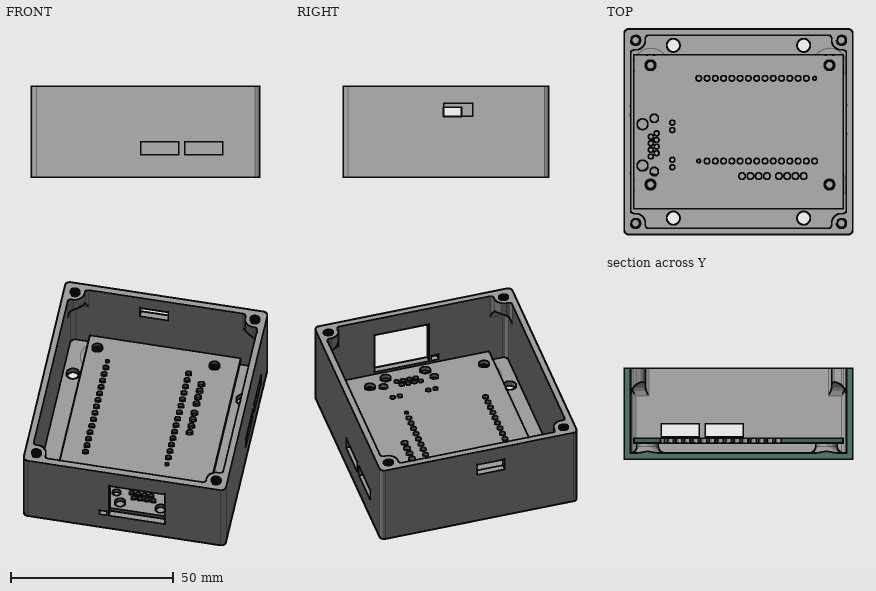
import cadquery as cq
import math

BOARD_X = 64.19
BOARD_Y = 47.19
BOARD_THICKNESS = 1.5
BOARD_GAP_X = 1.0
BOARD_GAP_Y = 6.0

WALL = 2.0
FLOOR = 2.0
HEIGHT = 28.0
CAVITY_X = BOARD_X + 2 * BOARD_GAP_X
CAVITY_Y = BOARD_Y + 2 * BOARD_GAP_Y
OUTER_X = CAVITY_X + 2 * WALL
OUTER_Y = CAVITY_Y + 2 * WALL
OUTER_CORNER_RADIUS = 1.5
CAVITY_CORNER_RADIUS = 1.5

LID_SCREW_INSET = 3.5
BOSS_RADIUS = 3.0
BOSS_WIDTH = LID_SCREW_INSET - WALL + BOSS_RADIUS
BOSS_DEPTH = 4.2
BOSS_UNDERSIDE_RADIUS = 4.3
LID_HOLE_DEPTH = 4.0
BOSS_BLEND_RADIUS = 1.0

THREAD_MINOR_DIAMETER = 2.53
THREAD_MAJOR_DIAMETER = 3.09
THREAD_PITCH = 0.5
THREAD_GROOVE_WIDTH = 0.4
THREAD_EXIT_ANGLE = 45
THREAD_ROOT_OVERLAP = 0.05

STANDOFF_XS = (-27.0, 27.9)
STANDOFF_YS = (-16.2, 20.4)
STANDOFF_POINTS = [(x, y) for x in STANDOFF_XS for y in STANDOFF_YS]
STANDOFF_HEIGHT = 3.0
STANDOFF_RADIUS = 3.3
STANDOFF_FILLET = 2.0
BOARD_BOTTOM = FLOOR + STANDOFF_HEIGHT
BOARD_TOP = BOARD_BOTTOM + BOARD_THICKNESS

MOUNT_SPACING_X = 40.0
MOUNT_SPACING_Y = 53.0
MOUNT_DIAMETER = 4.0

JACK_Y = -4.05
JACK_OPENING_WIDTH = 17.5
JACK_OPENING_HEIGHT = 15.0
LED_Y = 6.6
LED_WIDTH = 2.35
LED_HEIGHT = 1.95
USB_Y = 3.73
USB_WIDTH = 8.87
USB_BOTTOM = 18.7
USB_HEIGHT = 4.1
SLOT_XS = (4.35, 17.9)
SLOT_WIDTH = 11.6
SLOT_BOTTOM = 7.0
SLOT_HEIGHT = 3.9

BOARD_SCREW_DIAMETER = 3.2
HEADER_PITCH = 2.54
HEADER_PINS = 15
HEADER_START_X = -12.2
HEADER_YS = (-9.0, 16.4)
HEADER_DIAMETER = 1.7
HEADER_END_DIAMETER = 1.1
TERMINAL_PINS = 4
TERMINAL_START_XS = (1.1, 12.4)
TERMINAL_Y = -13.6
TERMINAL_DIAMETER = 2.0
JACK_PEG_X = -29.45
JACK_PEG_OFFSET = 6.35
JACK_PEG_DIAMETER = 3.3
JACK_SHIELD_X = -25.85
JACK_SHIELD_OFFSET = 8.15
JACK_SHIELD_DIAMETER = 2.53
JACK_PINS = 8
JACK_PIN_PITCH = 1.016
JACK_PIN_XS = (-26.9, -25.15)
JACK_PIN_DIAMETER = 1.52
JACK_LED_X = -20.3
JACK_LED_OFFSETS = (4.57, 6.86)
VIA_X = -26.45
VIA_Y = -2.55
VIA_DIAMETER = 0.6


def box_between(x, y, z):
    """Box spanning the given (low, high) pair on each axis."""
    size = [high - low for low, high in (x, y, z)]
    return cq.Workplane("XY").box(*size, centered=False).translate((x[0], y[0], z[0]))


def span(centre, width):
    """Low and high ends of a centred range."""
    return (centre - width / 2, centre + width / 2)


def drill(points, diameter, bottom, top):
    """Vertical cylinders used to cut round holes."""
    plane = cq.Workplane("XY", origin=(0, 0, bottom))
    return plane.pushPoints(points).circle(diameter / 2).extrude(top - bottom)


def corners(spacing_x, spacing_y):
    """Four points at the corners of a centred rectangle."""
    return [(x * spacing_x / 2, y * spacing_y / 2) for x in (-1, 1) for y in (-1, 1)]


def space_between_bosses():
    """Full-height interior with each corner left filled by a boss."""
    depth = HEIGHT - FLOOR
    boss_blocks = (
        cq.Workplane("XY", origin=(0, 0, FLOOR))
        .pushPoints(corners(CAVITY_X, CAVITY_Y))
        .rect(2 * BOSS_WIDTH, 2 * BOSS_WIDTH)
        .extrude(depth)
    )
    space = cq.Workplane("XY", origin=(0, 0, FLOOR)).rect(CAVITY_X, CAVITY_Y).extrude(depth).cut(boss_blocks)
    space = space.edges("|Z").edges("not(<X or >X or <Y or >Y)").fillet(BOSS_RADIUS)
    return space.edges("|Z").edges("<X or >X or <Y or >Y").fillet(BOSS_BLEND_RADIUS)


def space_below_bosses():
    """Rounded interior under the bosses; its rounded-over top edges form their concave undersides."""
    top = HEIGHT - BOSS_DEPTH
    swept = (
        cq.Workplane("XY", origin=(0, 0, FLOOR))
        .rect(CAVITY_X, CAVITY_Y)
        .extrude(top - FLOOR)
        .faces(">Z")
        .edges()
        .fillet(BOSS_UNDERSIDE_RADIUS)
    )
    rounded = (
        cq.Workplane("XY")
        .rect(CAVITY_X, CAVITY_Y)
        .extrude(HEIGHT)
        .edges("|Z")
        .fillet(CAVITY_CORNER_RADIUS)
    )
    return swept.intersect(rounded)


def threaded_hole(depth):
    """Cutter for a threaded hole reaching down from the origin: a core with a helical V ridge around it."""
    core_radius = THREAD_MINOR_DIAMETER / 2
    root = core_radius - THREAD_ROOT_OVERLAP
    helix_bottom = THREAD_PITCH - depth
    helix = cq.Wire.makeHelix(THREAD_PITCH, depth, core_radius)
    ridge = (
        cq.Workplane("XZ")
        .moveTo(root, -THREAD_GROOVE_WIDTH / 2)
        .lineTo(THREAD_MAJOR_DIAMETER / 2, 0)
        .lineTo(root, THREAD_GROOVE_WIDTH / 2)
        .close()
        .sweep(cq.Workplane(helix), isFrenet=True)
        .rotate((0, 0, 0), (0, 0, 1), THREAD_EXIT_ANGLE)
        .translate((0, 0, helix_bottom))
    )
    core = cq.Workplane("XY", origin=(0, 0, -depth)).circle(core_radius).extrude(depth + THREAD_PITCH)
    return core.union(ridge)


def standoff():
    """Round post with a concave fillet spreading onto the floor, standing at the origin."""
    foot = STANDOFF_RADIUS + STANDOFF_FILLET
    blend_middle = STANDOFF_FILLET * (1 - math.sqrt(0.5))
    return (
        cq.Workplane("XZ")
        .lineTo(foot, 0)
        .threePointArc(
            (STANDOFF_RADIUS + blend_middle, blend_middle),
            (STANDOFF_RADIUS, STANDOFF_FILLET),
        )
        .lineTo(STANDOFF_RADIUS, STANDOFF_HEIGHT)
        .lineTo(0, STANDOFF_HEIGHT)
        .close()
        .revolve(360, (0, 0, 0), (0, 1, 0))
        .translate((0, 0, FLOOR))
    )


def cut_wall_openings(shell):
    """Cut the jack, LED and USB openings in the end walls and two slots in the -Y wall."""
    minus_x_wall = (-OUTER_X / 2, -CAVITY_X / 2)
    plus_x_wall = (CAVITY_X / 2, OUTER_X / 2)
    minus_y_wall = (-OUTER_Y / 2, -CAVITY_Y / 2)
    jack_z = (BOARD_TOP, BOARD_TOP + JACK_OPENING_HEIGHT)
    led_z = (BOARD_TOP, BOARD_TOP + LED_HEIGHT)
    usb_z = (USB_BOTTOM, USB_BOTTOM + USB_HEIGHT)
    slot_z = (SLOT_BOTTOM, SLOT_BOTTOM + SLOT_HEIGHT)
    shell = shell.cut(box_between(minus_x_wall, span(JACK_Y, JACK_OPENING_WIDTH), jack_z))
    shell = shell.cut(box_between(minus_x_wall, span(LED_Y, LED_WIDTH), led_z))
    shell = shell.cut(box_between(plus_x_wall, span(USB_Y, USB_WIDTH), usb_z))
    for slot_x in SLOT_XS:
        shell = shell.cut(box_between(span(slot_x, SLOT_WIDTH), minus_y_wall, slot_z))
    return shell


def make_housing():
    """Open-topped box with lid bosses, board standoffs, mounting holes and connector openings."""
    shell = cq.Workplane("XY").rect(OUTER_X, OUTER_Y).extrude(HEIGHT).edges("|Z").fillet(OUTER_CORNER_RADIUS)
    shell = shell.cut(space_between_bosses().union(space_below_bosses()))
    for point in STANDOFF_POINTS:
        shell = shell.union(standoff().translate(point))
    shell = shell.cut(drill(corners(MOUNT_SPACING_X, MOUNT_SPACING_Y), MOUNT_DIAMETER, 0, FLOOR))
    shell = cut_wall_openings(shell)

    lid_points = corners(OUTER_X - 2 * LID_SCREW_INSET, OUTER_Y - 2 * LID_SCREW_INSET)
    lid_thread = threaded_hole(LID_HOLE_DEPTH).val()
    standoff_thread = threaded_hole(STANDOFF_HEIGHT).val()
    threads = [lid_thread.translate(cq.Vector(x, y, HEIGHT)) for x, y in lid_points]
    threads += [standoff_thread.translate(cq.Vector(x, y, BOARD_BOTTOM)) for x, y in STANDOFF_POINTS]
    return shell.cut(cq.Workplane(cq.Compound.makeCompound(threads)))


def header_holes():
    """Two facing pin rows; diagonally opposite end holes are smaller: list of (points, diameter)."""
    near_row, far_row = [
        [(HEADER_START_X + i * HEADER_PITCH, y) for i in range(HEADER_PINS)] for y in HEADER_YS
    ]
    return [
        (near_row[1:] + far_row[:-1], HEADER_DIAMETER),
        ([near_row[0], far_row[-1]], HEADER_END_DIAMETER),
    ]


def terminal_holes():
    """Two groups of connector pins in one line."""
    points = [
        (start + i * HEADER_PITCH, TERMINAL_Y) for start in TERMINAL_START_XS for i in range(TERMINAL_PINS)
    ]
    return [(points, TERMINAL_DIAMETER)]


def jack_holes():
    """Network jack pattern: pegs, shield tabs, LED pins and two staggered columns of contacts."""
    def mirrored(x, offset):
        return [(x, JACK_Y - offset), (x, JACK_Y + offset)]

    first_pin_y = JACK_Y - JACK_PIN_PITCH * (JACK_PINS - 1) / 2
    pins = [(JACK_PIN_XS[i % 2], first_pin_y + i * JACK_PIN_PITCH) for i in range(JACK_PINS)]
    led_pins = [point for offset in JACK_LED_OFFSETS for point in mirrored(JACK_LED_X, offset)]
    return [
        (mirrored(JACK_PEG_X, JACK_PEG_OFFSET), JACK_PEG_DIAMETER),
        (mirrored(JACK_SHIELD_X, JACK_SHIELD_OFFSET), JACK_SHIELD_DIAMETER),
        (pins + led_pins, JACK_PIN_DIAMETER),
        ([(VIA_X, VIA_Y)], VIA_DIAMETER),
    ]


def make_board():
    """Drilled circuit board resting on the standoffs."""
    board = (
        cq.Workplane("XY", origin=(0, 0, BOARD_BOTTOM))
        .rect(BOARD_X, BOARD_Y)
        .extrude(BOARD_THICKNESS)
    )
    screw_holes = [(STANDOFF_POINTS, BOARD_SCREW_DIAMETER)]
    for points, diameter in screw_holes + header_holes() + terminal_holes() + jack_holes():
        board = board.cut(drill(points, diameter, BOARD_BOTTOM, BOARD_TOP))
    return board


housing = make_housing()
board = make_board()

result = cq.Compound.makeCompound([housing.solids().val(), board.solids().val()])